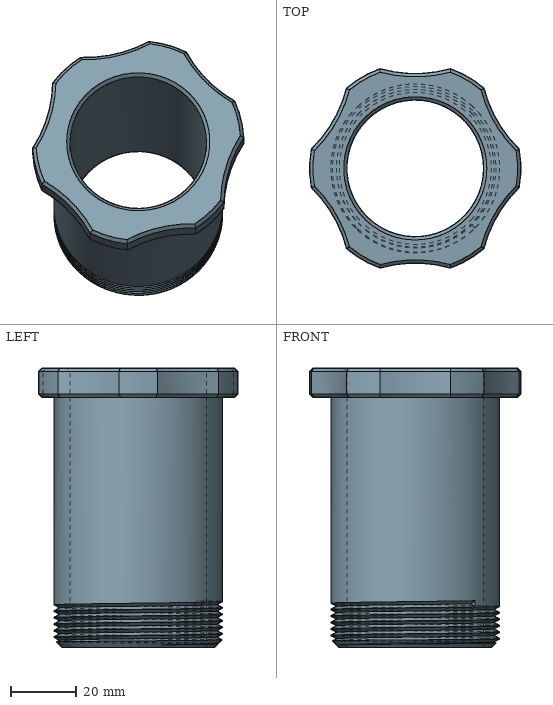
import cadquery as cq
import math

total_height = 86.0
knob_diameter = 65.0
knob_height = 9.0
tube_diameter = 51.95
bore_diameter = 42.0

edge_chamfer = 1.0
end_chamfer = 2.6

scallop_count = 6
scallop_radius = 40.0
knob_width_y = 61.3

groove_width = 1.9
groove_depth = 1.7
groove_top = 13.5
groove_end_angle = -45.0
groove_rise = 13.0
groove_turns = 6.5
groove_overrun = 0.04

knob_radius = knob_diameter / 2
tube_radius = tube_diameter / 2
bore_radius = bore_diameter / 2
knob_bottom = total_height - knob_height
thread_pitch = groove_rise / groove_turns


def make_knob():
    """Chamfered disc with concave scallops evenly spaced around its rim."""
    corner_y = knob_width_y / 2
    half_chord = math.sqrt(knob_radius**2 - corner_y**2)
    scallop_centre = corner_y + math.sqrt(scallop_radius**2 - half_chord**2)
    angle_step = 360 / scallop_count
    knob = cq.Workplane("XY").workplane(offset=knob_bottom).circle(knob_radius).extrude(knob_height)
    scallops = (
        cq.Workplane("XY")
        .workplane(offset=knob_bottom)
        .polarArray(scallop_centre, angle_step / 2, 360, scallop_count)
        .circle(scallop_radius)
        .extrude(knob_height)
    )
    return knob.cut(scallops).faces("|Z").edges().chamfer(edge_chamfer)


def make_tube():
    """Plain tube body, tapered at its lower end for the thread lead-in."""
    tube = cq.Workplane("XY").circle(tube_radius).extrude(total_height - edge_chamfer)
    return tube.faces("<Z").edges().chamfer(end_chamfer)


def make_thread_groove():
    """Right-handed V groove, closed by a flat face at its upper end."""
    groove_bottom = groove_top - groove_rise
    root_radius = tube_radius - groove_depth
    mouth_radius = tube_radius + groove_overrun
    mouth_half_width = groove_width / 2 * (groove_depth + groove_overrun) / groove_depth
    helix = cq.Wire.makeHelix(thread_pitch, groove_rise, tube_radius)
    groove = (
        cq.Workplane("XZ")
        .moveTo(root_radius, 0)
        .lineTo(mouth_radius, mouth_half_width)
        .lineTo(mouth_radius, -mouth_half_width)
        .close()
        .sweep(cq.Workplane(obj=helix), isFrenet=True)
    )
    start_angle = groove_end_angle - 360 * groove_turns
    return groove.rotate((0, 0, 0), (0, 0, 1), start_angle).translate((0, 0, groove_bottom))


def make_bore():
    """Through bore with a chamfered mouth at the knob face."""
    bore = cq.Workplane("XY").circle(bore_radius).extrude(total_height)
    mouth = (
        cq.Workplane("XY")
        .workplane(offset=total_height)
        .circle(bore_radius + edge_chamfer)
        .workplane(offset=-edge_chamfer)
        .circle(bore_radius)
        .loft()
    )
    return bore.union(mouth)


body = make_knob().union(make_tube())
result = body.cut(make_thread_groove()).cut(make_bore())